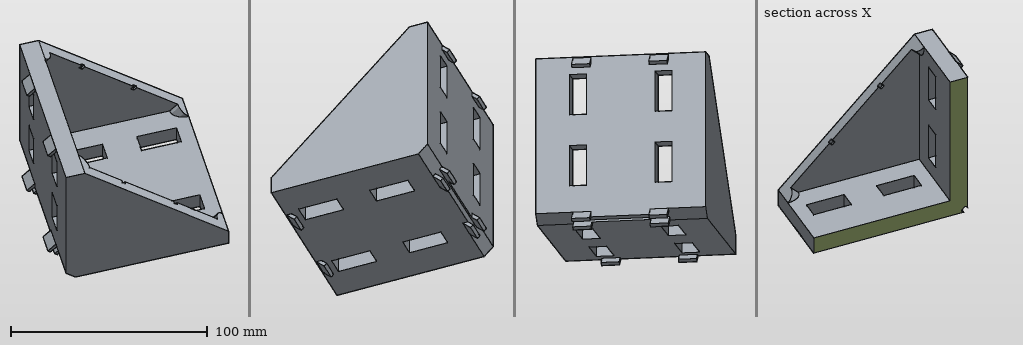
import cadquery as cq
import math

width = 88.0
leg_length = 86.0
plate_thickness = 10.0
side_wall = 6.0
heel_chamfer = 5.0
inner_half_width = width / 2 - side_wall

front_window_width = 8.8
base_window_width = 9.1
window_length = 21.0
window_x = 22.15
front_window_z = (29.4, 66.5)
base_window_y = (28.45, 67.55)

tongue_width = 9.4
tongue_x = 20.0
tongue_reach = 6.0
tongue_thickness = 2.0
tip_tongue_offset = 0.5

post_radius = 6.0

notch_width = 1.2
notch_length = 2.2
notch_depth = 2.2
notch_y = (32.0, 59.4)

slope_sum = leg_length + plate_thickness

diagonal = 1 / math.sqrt(2)


def prism(points, x_min, x_max):
    """Extrude a closed (y, z) outline from x_min to x_max."""
    return cq.Workplane("YZ").workplane(offset=x_min).polyline(points).close().extrude(x_max - x_min)


def block(x_size, y_range, z_range, x_center=0.0):
    """Box centred on x_center, spanning the given Y and Z ranges."""
    (y_min, y_max), (z_min, z_max) = y_range, z_range
    return (
        cq.Workplane("XY")
        .box(x_size, y_max - y_min, z_max - z_min, centered=(True, False, False))
        .translate((x_center, y_min, z_min))
    )


def make_cavity():
    """Triangular pocket between the side walls, open on the sloped face."""
    outline = [
        (plate_thickness, plate_thickness),
        (leg_length, plate_thickness),
        (plate_thickness, leg_length),
    ]
    return prism(outline, -inner_half_width, inner_half_width)


def make_post(x, y):
    """Round post starting on the sloped face at (x, y) and running square into the part."""
    start = cq.Vector(x, y, slope_sum - y)
    return cq.Workplane(obj=cq.Solid.makeCylinder(post_radius, leg_length, start, cq.Vector(0, -1, -1)))


def leave_posts(cavity):
    """Take a round post out of each corner of the cavity so that it stays solid."""
    for x in (-inner_half_width, inner_half_width):
        for y in (plate_thickness, leg_length):
            cavity = cavity.cut(make_post(x, y))
    return cavity


def make_body():
    """Hollow wedge with its heel chamfered off."""
    outline = [
        (heel_chamfer, 0),
        (leg_length, 0),
        (leg_length, plate_thickness),
        (plate_thickness, leg_length),
        (0, leg_length),
        (0, heel_chamfer),
    ]
    return prism(outline, -width / 2, width / 2).cut(leave_posts(make_cavity()))


def tongue_outline(y, z, side):
    """Strip pointing along (-Y, -Z) from edge point (y, z); side is +1 to grow towards +Y, -1 towards +Z."""
    across = side * tongue_thickness * diagonal
    ahead = tongue_reach * diagonal
    return [
        (y, z),
        (y - ahead, z - ahead),
        (y - ahead + across, z - ahead - across),
        (y + across, z - across),
    ]


def add_tongues(body):
    """Two pairs of tongues at the heel and one pair at the free end of each plate."""
    tip = leg_length - tip_tongue_offset
    heel_outlines = [
        tongue_outline(0, heel_chamfer, 1),
        tongue_outline(heel_chamfer, 0, -1),
    ]
    tip_outlines = [
        tongue_outline(0, tip, 1),
        tongue_outline(tip, 0, -1),
    ]
    for outline in heel_outlines + tip_outlines:
        for x in (-tongue_x, tongue_x):
            body = body.union(prism(outline, x - tongue_width / 2, x + tongue_width / 2))

    corner = block(2 * tongue_x, (0, plate_thickness), (0, plate_thickness))
    for outline in heel_outlines:
        body = body.union(prism(outline, -tongue_x, tongue_x).intersect(corner))
    return body


def cut_windows(body):
    """Two by two windows through the front plate and through the base plate."""
    through = (0, plate_thickness)
    for x in (-window_x, window_x):
        for z in front_window_z:
            span = (z - window_length / 2, z + window_length / 2)
            body = body.cut(block(front_window_width, through, span, x))
        for y in base_window_y:
            span = (y - window_length / 2, y + window_length / 2)
            body = body.cut(block(base_window_width, span, through, x))
    return body


def notch_outline(y):
    """Rectangle centred on the sloped face at y and sunk square into it."""
    z = slope_sum - y
    half = notch_length / 2 * diagonal
    deep = notch_depth * diagonal
    return [
        (y + half, z - half),
        (y - half, z + half),
        (y - half - deep, z + half - deep),
        (y + half - deep, z - half - deep),
    ]


def cut_notches(body):
    """Rectangular notches along the inner edges of the side walls."""
    notch_reach = inner_half_width + notch_width
    for y in notch_y:
        outline = notch_outline(y)
        body = body.cut(prism(outline, inner_half_width, notch_reach))
        body = body.cut(prism(outline, -notch_reach, -inner_half_width))
    return body


result = cut_notches(cut_windows(add_tongues(make_body())))